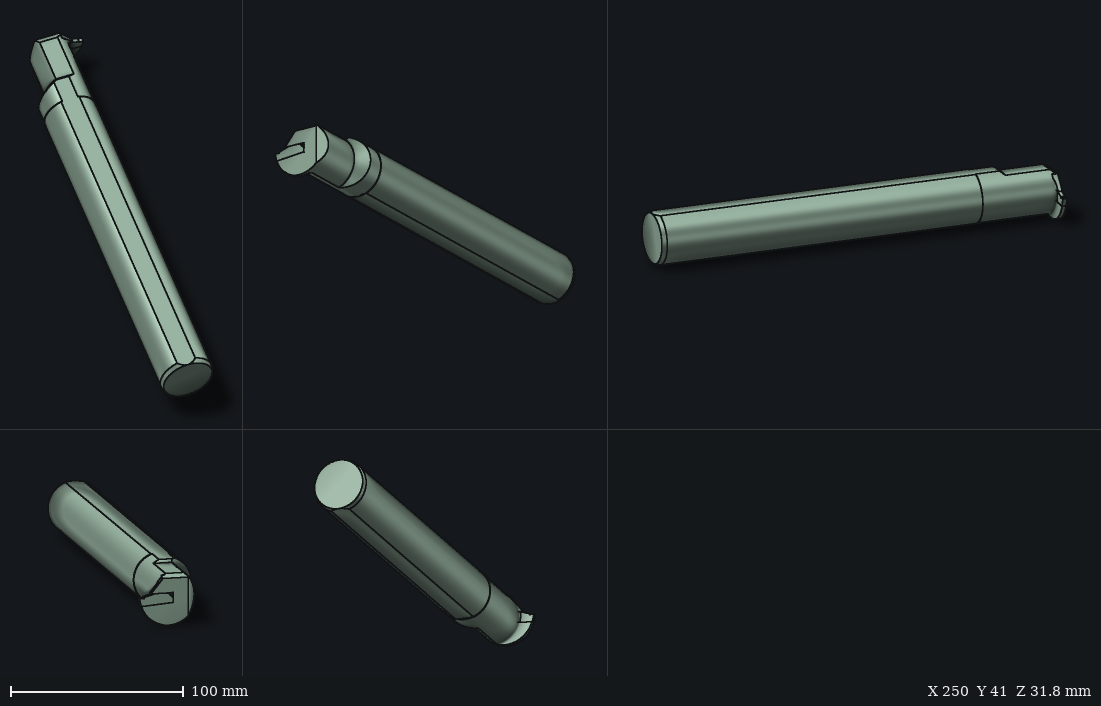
import cadquery as cq

overall_length = 250.0
shank_radius = 16.0
flat_height = 15.0
end_chamfer_length = 3.0
end_chamfer_depth = shank_radius - flat_height

collar_end = 49.0
collar_radius = 15.8

head_length = 31.8
head_radius = 16.8
head_offset = 7.8
head_top = 13.2
nose_top = 11.2
nose_slope_length = 4.0
nose_bevel_start = -4.0

blade_width = 2.8
blade_root_fillet = 1.0
relief_top = (11.2, 11.0)
relief_bottom = (18.2, 2.5)

tip_y = 25.0
rake_length = 2.8
breaker_height = 0.62
insert_top = 2.5
insert_rise_y = 15.8
seat_end_y = 4.8
seat_end_bottom = -3.2
flank_foot = (24.0, -4.8)
insert_end_chamfer = 3.0

margin = 50.0


def make_shank():
    """Round shank with two flats and a chamfered rear end."""
    shank = cq.Workplane("XY").polyline([
        (collar_end, 0),
        (collar_end, shank_radius),
        (overall_length - end_chamfer_length, shank_radius),
        (overall_length, shank_radius - end_chamfer_depth),
        (overall_length, 0),
    ]).close().revolve(360, (0, 0, 0), (1, 0, 0))
    flats = cq.Workplane("XY").box(2 * overall_length, 2 * margin, 2 * flat_height)
    return shank.intersect(flats)


def make_head_envelope():
    """Offset cylinder opening at 45 degrees, limited by the top and nose planes."""
    flare = collar_end - head_length
    envelope = cq.Workplane("XY").polyline([
        (0, head_offset),
        (0, head_offset + head_radius),
        (head_length, head_offset + head_radius),
        (collar_end, head_offset + head_radius + flare),
        (collar_end, head_offset),
    ]).close().revolve(360, (0, head_offset, 0), (1, head_offset, 0))
    side_profile = cq.Workplane("XZ").polyline([
        (0, -margin),
        (0, nose_top),
        (nose_slope_length, head_top),
        (head_length, head_top),
        (head_length + flat_height - head_top, flat_height),
        (collar_end, flat_height),
        (collar_end, -margin),
    ]).close().extrude(margin, both=True)
    nose_bevel = cq.Workplane("XY").polyline([
        (0, nose_bevel_start),
        (margin, nose_bevel_start - margin),
        (0, nose_bevel_start - margin),
    ]).close().extrude(margin, both=True)
    return envelope.intersect(side_profile).cut(nose_bevel)


def make_blade_blank():
    """Core cylinder with a front disc and a filleted root between them."""
    disc_radius = 2 * head_radius
    return (
        cq.Workplane("XY")
        .moveTo(0, 0)
        .lineTo(0, disc_radius)
        .lineTo(blade_width, disc_radius)
        .lineTo(blade_width, collar_radius + blade_root_fillet)
        .radiusArc((blade_width + blade_root_fillet, collar_radius), -blade_root_fillet)
        .lineTo(collar_end, collar_radius)
        .lineTo(collar_end, 0)
        .close()
        .revolve(360, (0, 0, 0), (1, 0, 0))
    )


def make_relief():
    """Clearance removed from the blade above the insert."""
    return cq.Workplane("YZ").polyline([
        relief_top,
        relief_bottom,
        (margin, relief_bottom[1]),
        (margin, margin),
        (relief_top[0], margin),
    ]).close().extrude(blade_width + blade_root_fillet)


def make_seat():
    """Pocket for the insert, open towards the front and the cutting tip."""
    return cq.Workplane("YZ").polyline([
        (seat_end_y, insert_top),
        (margin, insert_top),
        (margin, flank_foot[1]),
        flank_foot,
        (seat_end_y, seat_end_bottom),
    ]).close().extrude(blade_width)


def make_holder():
    head = make_head_envelope().intersect(make_blade_blank())
    return make_shank().union(head).cut(make_relief()).cut(make_seat())


def make_insert():
    """Parting insert with its cutting edge on the shank axis height."""
    rake_end = tip_y - rake_length
    return cq.Workplane("YZ").polyline([
        (tip_y, 0),
        (rake_end, 0),
        (rake_end, breaker_height),
        (insert_rise_y, insert_top),
        (seat_end_y + insert_end_chamfer, insert_top),
        (seat_end_y, insert_top - insert_end_chamfer),
        (seat_end_y, seat_end_bottom),
        flank_foot,
    ]).close().extrude(blade_width)


holder = make_holder()
insert = make_insert()
result = cq.Compound.makeCompound([holder.val(), insert.val()])